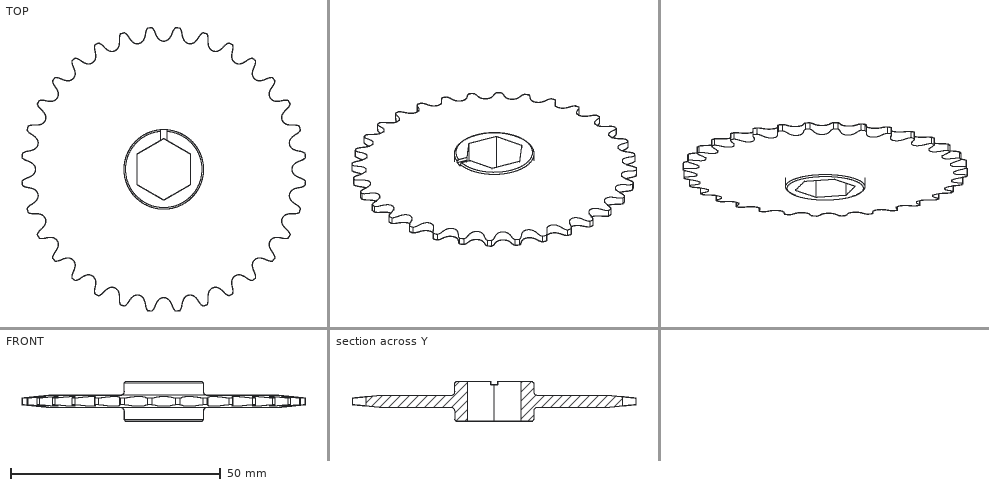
import cadquery as cq
import math

INCH = 25.4

tooth_count = 32
chain_pitch = 0.25 * INCH
roller_dia = 0.13 * INCH
tip_radius = 34.04
half_tooth_angle = math.pi / tooth_count
tooth_angle = 2 * half_tooth_angle
pitch_radius = chain_pitch / 2 / math.sin(half_tooth_angle)

seat_radius = 0.5025 * roller_dia + 0.0015 * INCH
seat_angle = math.radians(35 + 60 / tooth_count)
working_angle = math.radians(18 - 56 / tooth_count)
working_offset = 0.8 * roller_dia
working_radius = seat_radius + working_offset
flank_angle = seat_angle - working_angle
topping_angle = math.radians(17 - 64 / tooth_count)
topping_offset = 1.4 * roller_dia
topping_radius = (
    working_offset * math.cos(working_angle)
    + topping_offset * math.cos(topping_angle)
    - working_radius
)

disc_thickness = 3.0
rim_start_radius = 27.25
tip_thickness = 1.6

hub_radius = 0.75 * INCH / 2
hub_height = 0.375 * INCH
hub_fillet = 0.8
hub_chamfer = 0.015 * INCH

hex_across_flats = 0.5 * INCH
hex_corner_dia = hex_across_flats / math.cos(math.pi / 6)
notch_width = INCH / 16
notch_depth = 0.03 * INCH


def polar(center, radius, angle):
    """Point at a distance and direction from a center."""
    return (center[0] + radius * math.cos(angle), center[1] + radius * math.sin(angle))


def mirrored(point):
    """Same point on the -X side of the YZ plane."""
    return (-point[0], point[1])


def turned(point, angle):
    """Point turned clockwise about the sprocket axis."""
    x, y = point
    return (
        x * math.cos(angle) + y * math.sin(angle),
        y * math.cos(angle) - x * math.sin(angle),
    )


def gap_flank():
    """Points on the +X side of the gap centred on +Y, from its bottom out to the tip circle."""
    roller_center = (0, pitch_radius)
    working_center = polar(roller_center, working_offset, math.pi - seat_angle)
    topping_center = polar(roller_center, topping_offset, -half_tooth_angle)

    center_distance = math.hypot(*topping_center)
    center_direction = math.atan2(topping_center[1], topping_center[0])
    turn_to_tip = math.acos(
        (tip_radius**2 - center_distance**2 - topping_radius**2)
        / (2 * center_distance * topping_radius)
    )
    topping_start = math.pi - flank_angle
    topping_end = center_direction + turn_to_tip

    return [
        polar(roller_center, seat_radius, -seat_angle),
        polar(working_center, working_radius, -(seat_angle + flank_angle) / 2),
        polar(working_center, working_radius, -flank_angle),
        polar(topping_center, topping_radius, topping_start),
        polar(topping_center, topping_radius, (topping_start + topping_end) / 2),
        polar(topping_center, topping_radius, topping_end),
    ]


def tooth_outline():
    """Closed toothed outline, with a gap centred on +Y."""
    flank = gap_flank()
    gap_bottom = (0, pitch_radius - seat_radius)
    gap_start = mirrored(flank[-1])
    outline = cq.Workplane("XY").moveTo(*gap_start)
    for index in range(tooth_count):
        turn = index * tooth_angle
        seat_start, working_mid, working_end, topping_start, topping_mid, _ = [
            turned(mirrored(point), turn) for point in flank
        ]
        outline = (
            outline.threePointArc(topping_mid, topping_start)
            .lineTo(*working_end)
            .threePointArc(working_mid, seat_start)
        )
        seat_end, working_mid, working_end, topping_start, topping_mid, topping_end = [
            turned(point, turn) for point in flank
        ]
        tip_middle = turned((0, tip_radius), turn + half_tooth_angle)
        next_gap_start = turned(gap_start, turn + tooth_angle)
        outline = (
            outline.threePointArc(turned(gap_bottom, turn), seat_end)
            .threePointArc(working_mid, working_end)
            .lineTo(*topping_start)
            .threePointArc(topping_mid, topping_end)
            .threePointArc(tip_middle, next_gap_start)
        )
    return outline.close()


def make_blank():
    """Hub and tapered disc without teeth: the revolved upper half joined to its mirror image."""
    half_disc = disc_thickness / 2
    half_hub = hub_height / 2
    fillet_center = (hub_radius + hub_fillet, half_disc + hub_fillet)
    fillet_middle = polar(fillet_center, hub_fillet, math.radians(225))
    upper_half = (
        cq.Workplane("XZ")
        .lineTo(tip_radius, 0)
        .lineTo(tip_radius, tip_thickness / 2)
        .lineTo(rim_start_radius, half_disc)
        .lineTo(fillet_center[0], half_disc)
        .threePointArc(fillet_middle, (hub_radius, fillet_center[1]))
        .lineTo(hub_radius, half_hub - hub_chamfer)
        .lineTo(hub_radius - hub_chamfer, half_hub)
        .lineTo(0, half_hub)
        .close()
        .revolve(360, (0, 0, 0), (0, 1, 0))
    )
    return upper_half.union(upper_half.mirror("XY"))


def make_tooth_envelope():
    """Toothed prism that trims the blank to the tooth outline."""
    return tooth_outline().extrude(hub_height / 2, both=True)


def make_hex_bore():
    """Hexagonal prism through the hub, with corners on +Y and -Y."""
    return (
        cq.Workplane("XY")
        .transformed(rotate=(0, 0, 90))
        .polygon(6, hex_corner_dia)
        .extrude(hub_height, both=True)
    )


def make_notch():
    """Shallow radial notch across the top of the hub, from the bore out through the +Y side."""
    notch_length = 2 * hub_radius
    return (
        cq.Workplane("XY", origin=(0, notch_length / 2, hub_height / 2 - notch_depth))
        .rect(notch_width, notch_length)
        .extrude(hub_height)
    )


result = make_blank().intersect(make_tooth_envelope()).cut(make_hex_bore()).cut(make_notch())